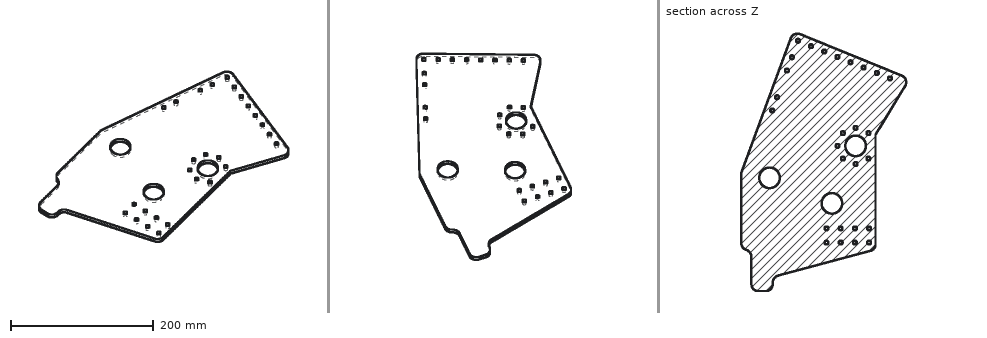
import cadquery as cq
import math

thickness = 6.5
corner_radius = 10.0
plate_right = 189.0
left_bend_y = 166.7
right_bend_y = 220.5
left_lean = 20.2
right_flare = 31.3
top_slope = 22.2
bottom_slope = 15.0
top_corner_x = 73.2

tab_left = 14.0
tab_right = 44.5
tab_root_y = 20.0
shoulder_top = 67.8

large_diameter = 28.5
small_diameter = 5.0
hub_center = (161.0, 204.5)
plain_large_centers = [(40.0, 159.5), (127.5, 123.5)]
bolt_circle_radius = 25.5
bolt_circle_divisions = 8
top_row_length = 140.0
top_row_count = 8
hole_pitch = top_row_length / (top_row_count - 1)
grid_start = (120.0, 68.5)
grid_columns = 4
grid_rows = 2
edge_row_start = (79.7, 352.3)
side_row_first = 24.5
side_row_steps = [0, 1, 3, 4]


def tan_deg(angle):
    return math.tan(math.radians(angle))


def along(start, distance, angle):
    """Point at a distance from start, in a direction given in degrees."""
    direction = math.radians(angle)
    return (start[0] + distance * math.cos(direction), start[1] + distance * math.sin(direction))


top_corner = (top_corner_x, left_bend_y + top_corner_x / tan_deg(left_lean))
flare_height = (
    top_corner[1] - right_bend_y - (plate_right - top_corner_x) * tan_deg(top_slope)
) / (1 + tan_deg(right_flare) * tan_deg(top_slope))
flare_corner = (plate_right + flare_height * tan_deg(right_flare), right_bend_y + flare_height)
bottom_right_y = tab_root_y + (plate_right - tab_right) * tan_deg(bottom_slope)

shoulder_angle = math.acos(1 - tab_left / (2 * corner_radius))
shoulder_height = 2 * corner_radius * math.sin(shoulder_angle)
shoulder_middle = (tab_left / 2, shoulder_top - shoulder_height / 2)
shoulder_bottom = (tab_left, shoulder_top - shoulder_height)


def make_plate():
    outline = (
        cq.Workplane("XY")
        .moveTo(0, shoulder_top)
        .lineTo(0, left_bend_y)
        .lineTo(*top_corner)
        .lineTo(*flare_corner)
        .lineTo(plate_right, right_bend_y)
        .lineTo(plate_right, bottom_right_y)
        .lineTo(tab_right, tab_root_y)
        .lineTo(tab_right, 0)
        .lineTo(tab_left, 0)
        .lineTo(*shoulder_bottom)
        .tangentArcPoint(shoulder_middle, relative=False)
        .tangentArcPoint((0, shoulder_top), relative=False)
        .close()
    )
    plate = outline.extrude(thickness)
    rounded_corners = [
        (0, left_bend_y),
        top_corner,
        flare_corner,
        (plate_right, bottom_right_y),
        (tab_right, tab_root_y),
        (tab_right, 0),
        (tab_left, 0),
    ]
    for x, y in rounded_corners:
        corner_edge = cq.selectors.NearestToPointSelector((x, y, thickness / 2))
        plate = plate.edges("|Z").edges(corner_edge).fillet(corner_radius)
    return plate


def small_hole_centers():
    bolt_circle = [
        along(hub_center, bolt_circle_radius, step * 360 / bolt_circle_divisions)
        for step in range(1, bolt_circle_divisions)
    ]
    grid = [
        (grid_start[0] + column * hole_pitch, grid_start[1] + row * hole_pitch)
        for column in range(grid_columns)
        for row in range(grid_rows)
    ]
    top_row = [along(edge_row_start, step * hole_pitch, -top_slope) for step in range(top_row_count)]
    side_row = [
        along(edge_row_start, side_row_first + step * hole_pitch, -90 - left_lean)
        for step in side_row_steps
    ]
    return bolt_circle + grid + top_row + side_row


def drill(centers, diameter):
    return cq.Workplane("XY").pushPoints(centers).circle(diameter / 2).extrude(thickness)


result = (
    make_plate()
    .cut(drill([hub_center] + plain_large_centers, large_diameter))
    .cut(drill(small_hole_centers(), small_diameter))
)